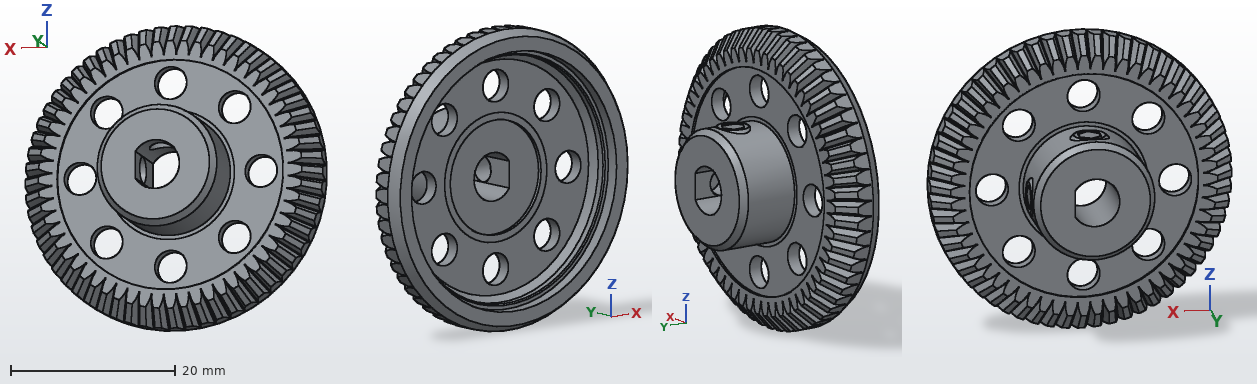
import cadquery as cq
import math


outer_radius = 18.65
front_radius = 17.82
rear_radius = 16.5
chamfer_end_y = 1.4
tip_edge_y = 3.65
rear_y = 5.6
web_front_y = 3.55
web_rear_y = 5.3
rear_recess_radius = 14.15

mouth_radius = 32.1 / 2
step_outer_radius = 32.0 / 2
step_inner_radius = 31.0 / 2
recess_radius = 30.65 / 2
recess_floor_radius = 29.08 / 2
step_y = 1.53
step_bevel = step_inner_radius - recess_radius
recess_cone_y = 2.65

tooth_count = 60
root_y = 1.7
root_half_width = 0.055
flank_start_y = 2.1
flank_middle_y = 2.85
flank_middle_half_width = 0.22
gap_half_width = 0.55
gap_overshoot = 0.82
gap_outer_radius = 19.4
gap_inner_radius = 13.42
apex_y = tip_edge_y + outer_radius * (rear_y - tip_edge_y) / (outer_radius - rear_radius)

hole_count = 8
hole_diameter = 4.0
hole_circle_radius = 11.35

hub_radius = 15.0 / 2
flange_radius = 16.0 / 2
hub_end_y = 13.0
hub_chamfer_length = 0.85
hub_chamfer_radial = 0.7
hub_recess_radius = 14.2 / 2
hub_recess_depth = 0.5
bore_radius = 6.0 / 2
bore_flat_x = 2.5

screw_y = 9.17
screw_end_height = hub_radius + 0.05
screw_end_radius = 3.9 / 2
screw_radius = 5.0 / 2
screw_bevel = screw_radius - screw_end_radius
socket_corner_diameter = 3.02
screw_hole_diameter = 3.25
screw_hole_end = 5.0


def revolve_about_y(points):
    """Revolve a closed (radius, y) outline about the Y axis."""
    return cq.Workplane("XY").polyline(points).close().revolve(360, (0, 0, 0), (0, 1, 0))


def cylinder_along_y(radius, start_y, end_y, x=0.0, z=0.0):
    length = end_y - start_y
    return cq.Workplane(cq.Solid.makeCylinder(radius, length, cq.Vector(x, start_y, z), cq.Vector(0, 1, 0)))


def make_gear_blank():
    return revolve_about_y([
        (mouth_radius, 0),
        (front_radius, 0),
        (outer_radius, chamfer_end_y),
        (outer_radius, tip_edge_y),
        (rear_radius, rear_y),
        (rear_recess_radius, rear_y),
        (rear_recess_radius, web_rear_y),
        (flange_radius, web_rear_y),
        (flange_radius, web_front_y),
        (recess_floor_radius, web_front_y),
        (recess_radius, recess_cone_y),
        (recess_radius, step_y + step_bevel),
        (step_inner_radius, step_y),
        (step_outer_radius, step_y),
    ])


def gap_section(radius):
    """Tooth-gap outline on the plane Z = radius, shrinking toward the cone apex."""
    scale = radius / outer_radius

    def point(x, y):
        return cq.Vector(x * scale, apex_y + (y - apex_y) * scale, radius)

    def flank(side):
        return cq.Edge.makeThreePointArc(
            point(side * root_half_width, flank_start_y),
            point(side * flank_middle_half_width, flank_middle_y),
            point(side * gap_half_width, tip_edge_y),
        )

    corners = [
        point(gap_half_width, tip_edge_y),
        point(gap_half_width, tip_edge_y + gap_overshoot),
        point(-gap_half_width, tip_edge_y + gap_overshoot),
        point(-gap_half_width, tip_edge_y),
    ]
    root = [
        point(-root_half_width, flank_start_y),
        point(-root_half_width, root_y),
        point(root_half_width, root_y),
        point(root_half_width, flank_start_y),
    ]
    edges = [flank(1)]
    edges += [cq.Edge.makeLine(a, b) for a, b in zip(corners, corners[1:])]
    edges += [flank(-1)]
    edges += [cq.Edge.makeLine(a, b) for a, b in zip(root, root[1:])]
    return cq.Wire.assembleEdges(edges)


def make_tooth_gaps():
    """One gap beside the tooth on +Z, repeated around the axis."""
    gap = cq.Solid.makeLoft([gap_section(gap_inner_radius), gap_section(gap_outer_radius)], True)
    pitch = 360 / tooth_count
    gaps = []
    for index in range(tooth_count):
        angle = (index + 0.5) * pitch
        gaps.append(gap.rotate(cq.Vector(0, 0, 0), cq.Vector(0, 1, 0), angle))
    return cq.Compound.makeCompound(gaps)


def make_gear():
    gear = make_gear_blank().cut(cq.Workplane(make_tooth_gaps()))
    for index in range(hole_count):
        angle = 2 * math.pi * index / hole_count
        x = hole_circle_radius * math.cos(angle)
        z = hole_circle_radius * math.sin(angle)
        gear = gear.cut(cylinder_along_y(hole_diameter / 2, web_front_y, web_rear_y, x, z))
    return gear


def make_hub_blank():
    recess_y = web_front_y + hub_recess_depth
    return revolve_about_y([
        (0, recess_y),
        (hub_recess_radius, recess_y),
        (hub_recess_radius, web_front_y),
        (flange_radius, web_front_y),
        (flange_radius, web_rear_y),
        (hub_radius, web_rear_y),
        (hub_radius, hub_end_y - hub_chamfer_length),
        (hub_radius - hub_chamfer_radial, hub_end_y),
        (0, hub_end_y),
    ])


def make_d_bore():
    bore = cylinder_along_y(bore_radius, web_front_y, hub_end_y)
    width = bore_radius + bore_flat_x
    keep = cq.Workplane("XY").box(width, hub_end_y, 2 * bore_radius, centered=(False, False, True))
    return bore.intersect(keep.translate((-bore_radius, 0, 0)))


def make_screw_end():
    """Bevelled screw end on +Z whose hexagon socket reaches down to the hub surface."""
    base_height = hub_radius - screw_bevel
    end = (
        cq.Workplane("XY", origin=(0, screw_y, base_height))
        .circle(screw_radius)
        .extrude(screw_end_height - base_height)
        .faces(">Z")
        .chamfer(screw_bevel)
    )
    socket = (
        cq.Workplane("XY", origin=(0, screw_y, base_height))
        .transformed(rotate=(0, 0, 90))
        .polygon(6, socket_corner_diameter)
        .extrude(screw_end_height - base_height)
    )
    return end.cut(socket)


def make_screw_hole():
    return (
        cq.Workplane("XY", origin=(0, screw_y, 0))
        .circle(screw_hole_diameter / 2)
        .extrude(screw_hole_end)
    )


def make_hub():
    hub = make_hub_blank().cut(make_d_bore())
    for angle in (0, 90):
        hub = hub.union(make_screw_end().rotate((0, 0, 0), (0, 1, 0), angle))
        hub = hub.cut(make_screw_hole().rotate((0, 0, 0), (0, 1, 0), angle))
    return hub


gear = make_gear()
hub = make_hub()

result = cq.Compound.makeCompound([gear.val(), hub.val()])